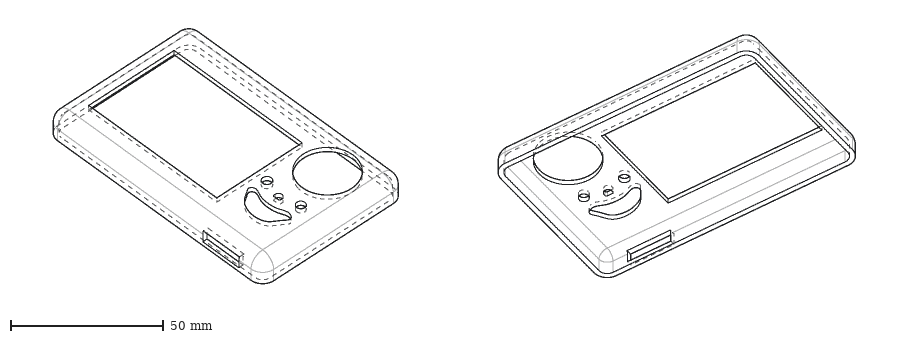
import cadquery as cq

LENGTH = 102.9
WIDTH = 64.5
HEIGHT = 10.4
CORNER_RADIUS = 5.2
WALL = 2.0

WINDOW_LENGTH = 61.1
WINDOW_WIDTH = 38.5
WINDOW_CENTER = (-12.9, -1.5)

DIAL_DIAMETER = 22.8
DIAL_CENTER = (33.3, 14.4)

EYE_Y = -3.1
LEFT_EYE_X = 22.9
LEFT_EYE_DIAMETER = 3.8
RIGHT_EYE_X = 39.1
RIGHT_EYE_DIAMETER = 3.6
NOSE_CENTER = (31.2, -5.7)
NOSE_RADIUS = 1.5
NOSE_DROP = 1.0
NOSE_CORNER_RADIUS = 0.5
MOUTH_POINTS = [
    (21.7, -9.5),
    (22.6, -8.6),
    (26.6, -9.7),
    (31.1, -10.4),
    (35.6, -9.7),
    (39.7, -8.6),
    (41.7, -10.1),
    (40.3, -12.5),
    (37.3, -16.6),
    (33.4, -17.9),
    (29.2, -17.5),
    (24.3, -14.5),
    (22.3, -11.5),
]

SLOT_LENGTH = 17.2
SLOT_HEIGHT = 4.7
SLOT_CENTER_X = 31.8
SLOT_BOTTOM = 1.7


def rounded_block(inset):
    """Block with rounded upright and top edges, inset on every side but the bottom."""
    radius = CORNER_RADIUS - inset
    length = LENGTH - 2 * inset
    width = WIDTH - 2 * inset
    block = cq.Workplane("XY").rect(length, width).extrude(HEIGHT - inset)
    return block.edges("|Z or >Z").fillet(radius)


def cutter():
    """Sketch plane for openings that pass right through the top."""
    return cq.Workplane("XY")


def round_opening(center, diameter):
    return cutter().center(*center).circle(diameter / 2).extrude(HEIGHT)


def window_opening():
    return cutter().center(*WINDOW_CENTER).rect(WINDOW_LENGTH, WINDOW_WIDTH).extrude(HEIGHT)


def nose_opening():
    """Half-round dome above a short base with rounded lower corners."""
    nose = (
        cutter()
        .center(*NOSE_CENTER)
        .moveTo(-NOSE_RADIUS, 0)
        .threePointArc((0, NOSE_RADIUS), (NOSE_RADIUS, 0))
        .lineTo(NOSE_RADIUS, -NOSE_DROP)
        .lineTo(-NOSE_RADIUS, -NOSE_DROP)
        .close()
        .extrude(HEIGHT)
    )
    return nose.edges("|Z and <Y").fillet(NOSE_CORNER_RADIUS)


def mouth_opening():
    return cutter().spline(MOUTH_POINTS, periodic=True).close().extrude(HEIGHT)


def side_slot():
    """Box centred on the outer -Y face, deep enough to clear the wall and its rounding."""
    slot = cq.Workplane("XY").box(SLOT_LENGTH, 2 * CORNER_RADIUS, SLOT_HEIGHT)
    return slot.translate((SLOT_CENTER_X, -WIDTH / 2, SLOT_BOTTOM + SLOT_HEIGHT / 2))


openings = [
    window_opening(),
    round_opening(DIAL_CENTER, DIAL_DIAMETER),
    round_opening((LEFT_EYE_X, EYE_Y), LEFT_EYE_DIAMETER),
    round_opening((RIGHT_EYE_X, EYE_Y), RIGHT_EYE_DIAMETER),
    nose_opening(),
    mouth_opening(),
    side_slot(),
]

case = rounded_block(0).cut(rounded_block(WALL))
for opening in openings:
    case = case.cut(opening)

result = case